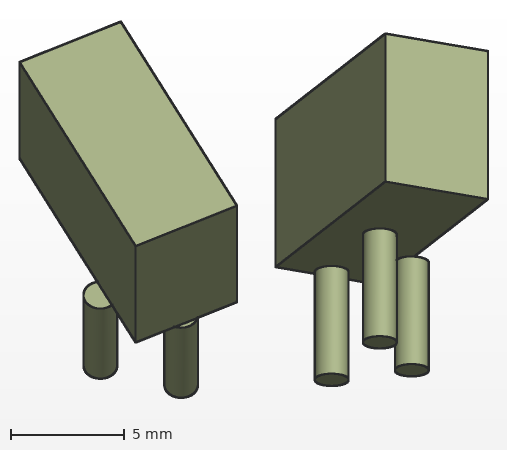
import cadquery as cq

overall_height = 12.1

housing_length = 11.41
housing_width = 5.0
housing_height = 7.0

pin_diameter = 1.5
pin_length = overall_height - housing_height
row_pin_y = housing_width / 2
offset_pin_y = -0.2
left_pin_x = 5.9
middle_pin_x = 8.36
right_pin_x = 10.9

pin_places = [
    (left_pin_x, row_pin_y),
    (middle_pin_x, offset_pin_y),
    (right_pin_x, row_pin_y),
]


def make_housing():
    """Plain rectangular block standing on the pin tops."""
    return cq.Workplane("XY").box(housing_length, housing_width, housing_height, centered=False)


def make_pin(x, y):
    """One round pin whose flat top touches the underside plane of the housing."""
    return cq.Workplane("XY").center(x, y).circle(pin_diameter / 2).extrude(-pin_length)


housing = make_housing()
pins = [make_pin(x, y) for x, y in pin_places]

result = cq.Compound.makeCompound([housing.val(), *[pin.val() for pin in pins]])